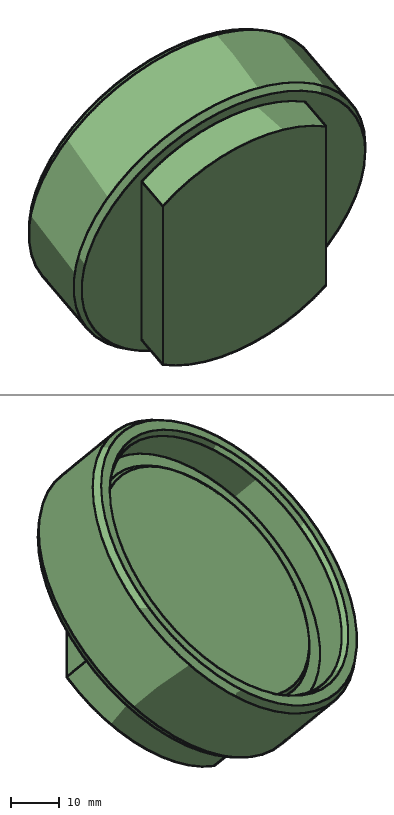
import cadquery as cq

body_diameter = 71.5
body_length = 20.0
edge_chamfer_length = 1.5
edge_chamfer_depth = 1.0

recess_radius = 31.6
recess_depth = 8.0
mouth_chamfer_length = 1.15
mouth_chamfer_depth = 0.8

disc_base_radius = 28.75
disc_top_radius = 27.95
disc_height = 0.8

tab_diameter = 64.0
tab_width = 40.05
tab_length = 8.0


def make_body():
    """Revolve the half section of the body, recess and floor disc about X."""
    radius = body_diameter / 2
    face_outer_radius = radius - edge_chamfer_depth
    mouth_radius = recess_radius + mouth_chamfer_depth
    disc_top_x = recess_depth - disc_height
    section = [
        (disc_top_x, 0),
        (disc_top_x, disc_top_radius),
        (recess_depth, disc_base_radius),
        (recess_depth, recess_radius),
        (mouth_chamfer_length, recess_radius),
        (0, mouth_radius),
        (0, face_outer_radius),
        (edge_chamfer_length, radius),
        (body_length - edge_chamfer_length, radius),
        (body_length, face_outer_radius),
        (body_length, 0),
    ]
    return cq.Workplane("XY").polyline(section).close().revolve(360, (0, 0, 0), (1, 0, 0))


def make_tab():
    """Round boss trimmed by flats facing -Y and +Y."""
    boss = cq.Workplane("YZ", origin=(body_length, 0, 0)).circle(tab_diameter / 2).extrude(tab_length)
    slab = cq.Workplane("YZ", origin=(body_length, 0, 0)).rect(tab_width, tab_diameter).extrude(tab_length)
    return boss.intersect(slab)


result = make_body().union(make_tab())